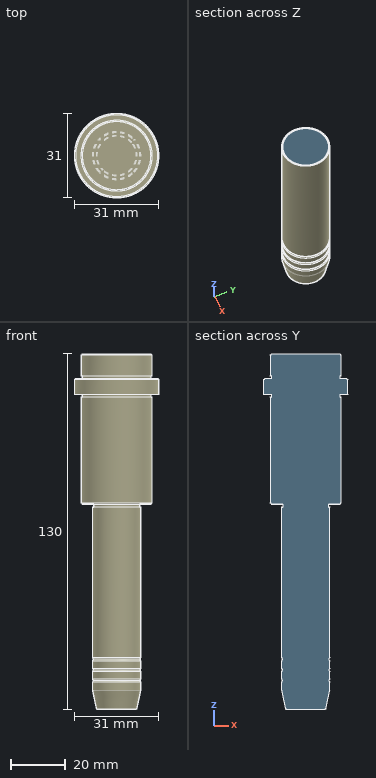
import cadquery as cq

length = 130.0
collar_diameter = 31.0
body_diameter = 26.0
shank_diameter = 17.7
tip_diameter = 14.8

collar_top = 121.0
collar_bottom = 115.0
body_bottom = 75.0
tip_height = 7.0

edge_chamfer = 0.5
tip_chamfer = 0.3
relief_depth = 0.4
relief_width = 0.9
shank_relief_height = 1.0

groove_count = 3
groove_width = 1.2
groove_depth = 0.3
groove_pitch = 3.9
lowest_groove = 10.0


def cylinder(diameter, bottom, top):
    """Solid round section between two heights."""
    return cq.Workplane("XY").workplane(offset=bottom).circle(diameter / 2).extrude(top - bottom)


def make_head():
    head = cylinder(body_diameter, collar_top + relief_width, length).faces(">Z").chamfer(edge_chamfer)
    neck = cylinder(body_diameter - 2 * relief_depth, collar_top, collar_top + relief_width)
    return head.union(neck)


def make_collar():
    return cylinder(collar_diameter, collar_bottom, collar_top).faces(">Z").chamfer(edge_chamfer)


def make_body():
    body_top = collar_bottom - relief_width
    body = cylinder(body_diameter, body_bottom, body_top).faces("<Z").chamfer(edge_chamfer)
    neck = cylinder(body_diameter - 2 * relief_depth, body_top, collar_bottom)
    return body.union(neck)


def make_shank():
    """Revolved shank with a conical tip and a straight relief under the body."""
    radius = shank_diameter / 2
    relief_radius = radius - relief_depth
    profile = [
        (0, 0),
        (tip_diameter / 2 - tip_chamfer, 0),
        (tip_diameter / 2, tip_chamfer),
        (radius, tip_height),
        (radius, body_bottom - shank_relief_height),
        (relief_radius, body_bottom - shank_relief_height),
        (relief_radius, body_bottom),
        (0, body_bottom),
    ]
    return cq.Workplane("XZ").polyline(profile).close().revolve(360, (0, 0, 0), (0, 1, 0))


def make_ring_groove(bottom):
    """V-shaped ring to cut from the shank."""
    radius = shank_diameter / 2
    profile = [
        (radius, bottom),
        (radius - groove_depth, bottom + groove_width / 2),
        (radius, bottom + groove_width),
    ]
    return cq.Workplane("XZ").polyline(profile).close().revolve(360, (0, 0, 0), (0, 1, 0))


shank = make_shank()
for index in range(groove_count):
    shank = shank.cut(make_ring_groove(lowest_groove + index * groove_pitch))

result = shank.union(make_body()).union(make_collar()).union(make_head())